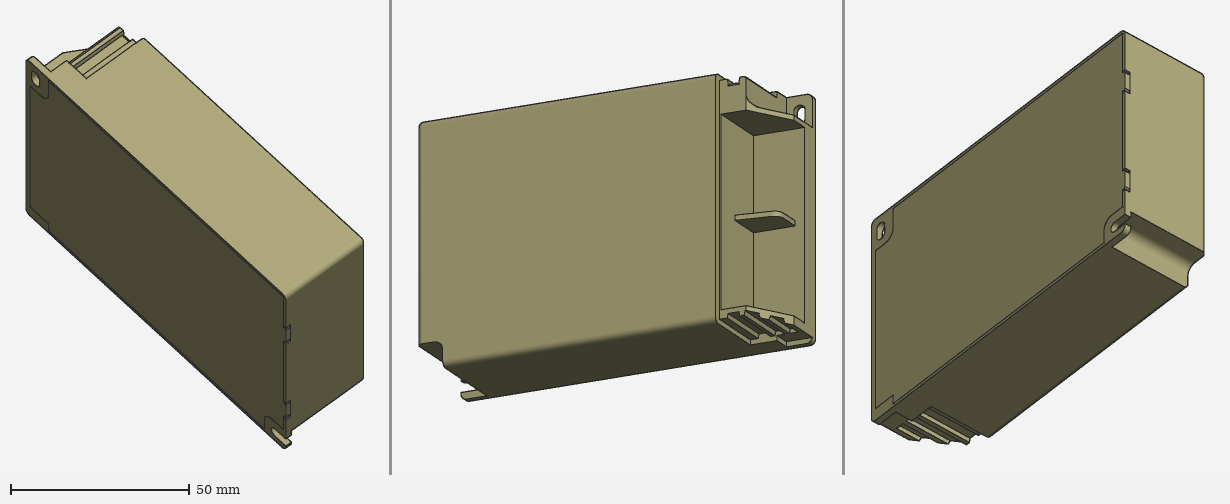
import cadquery as cq

length = 110.0
depth = 30.0
height = 74.0
edge_radius = 1.8
wall = 1.1
flange_thickness = 2.1

end_length = 16.5
end_inset = 1.5
end_rear = 27.5
step_start = 8.0
ear_depth_x = 8.1
bevel_start = 13.8
corner_bevel_x = 0.7
corner_bevel_z = 0.3

upper_ear_height = 10.1
lower_ear_height = 7.7
ear_fillet = 2.9

slot_width = 3.4
upper_slot_x = 4.1
upper_slot_z = 68.2
upper_slot_length = 5.9
lower_slot_z = 4.0
lower_slot_end = 103.8

pocket_bottom = 4.3
pocket_top = 62.4
pocket_floor_y = 7.0
pocket_wall_x = 16.0

rib_x = 3.0
rib_z = 33.5
rib_thickness = 1.5
rib_shoulder_y = 16.9
rib_root_y = 18.8
rib_radius = 2.9

groove_depth = 1.3
groove_taper = 0.3
groove_spans = [(1.5, 4.3), (5.7, 8.8), (10.1, 14.1)]
end_bevel = 0.8

panel_thickness = 1.8
panel_left = 1.8
ear_land_x = 9.5
ear_land_lower = 9.1
ear_land_radius = 3.5
notch_height = 7.7
tab_gap = 0.3
tab_chamfer = 0.5
tab_centers = (18.8, 55.0)


def block(x0, x1, y0, y1, z0, z1):
    """Axis-aligned box between two opposite corners."""
    return cq.Workplane("XY").box(x1 - x0, y1 - y0, z1 - z0, centered=False).translate((x0, y0, z0))


def case_envelope():
    """Rounded box carrying the mounting face, before the connection end is shaped."""
    envelope = block(0, length, 0, depth, 0, height)
    envelope = envelope.edges("|Y").fillet(edge_radius)
    envelope = envelope.faces(">Y").edges().fillet(edge_radius)
    behind_end = block(0, end_length, end_rear, depth, 0, height)
    return envelope.cut(behind_end)


def height_step_cutters():
    """Strips that make the connection end lower than the case at the top and the bottom."""
    top = block(0, end_length, step_start, depth, height - end_inset, height)
    bottom = block(0, end_length, step_start, depth, 0, end_inset)
    bottom_ear = block(0, ear_depth_x, flange_thickness, depth, 0, end_inset)
    return [top, bottom, bottom_ear]


def side_bevel_cutter():
    """Wedge that slants the free end between the front lip and the rear side."""
    return (
        cq.Workplane("XY")
        .polyline([(0, bevel_start), (ear_depth_x, end_rear), (0, end_rear)])
        .close()
        .extrude(height)
    )


def ear_corner_cutters():
    """Open corners behind the two mounting ears, rounded along the inner edge."""
    upper = block(0, ear_depth_x, flange_thickness, depth, height - upper_ear_height, height)
    upper = upper.edges("|Y and >X and <Z").fillet(ear_fillet)
    lower = block(length - ear_depth_x, length, flange_thickness, depth, 0, lower_ear_height)
    lower = lower.edges("|Y and <X and >Z").fillet(ear_fillet)
    return [upper, lower]


def corner_bevel_cutter():
    """Small bevel on the top edge beside the upper open corner."""
    top = height - end_inset
    return (
        cq.Workplane("XZ", origin=(0, step_start, 0))
        .polyline([
            (ear_depth_x, top),
            (ear_depth_x + corner_bevel_x, top),
            (ear_depth_x, top - corner_bevel_z),
        ])
        .close()
        .extrude(step_start - depth)
    )


def slot_cutters():
    """Closed upright slot in the upper ear and open-ended slot in the lower ear."""
    ear_plane = cq.Workplane("XZ")
    upper = (
        ear_plane.center(upper_slot_x, upper_slot_z)
        .slot2D(upper_slot_length, slot_width, 90)
        .extrude(-depth)
    )
    lower_length = 2 * (length - lower_slot_end)
    lower = (
        ear_plane.center(length, lower_slot_z)
        .slot2D(lower_length, slot_width, 0)
        .extrude(-depth)
    )
    return [upper, lower]


def groove_cutter(x0, x1, edge_z, direction):
    """Tapered groove along Y; direction is +1 to cut upwards and -1 to cut downwards."""
    floor_z = edge_z + direction * groove_depth
    return (
        cq.Workplane("XZ", origin=(0, step_start, 0))
        .polyline([
            (x0, edge_z),
            (x1, edge_z),
            (x1 - groove_taper, floor_z),
            (x0 + groove_taper, floor_z),
        ])
        .close()
        .extrude(step_start - depth)
    )


def groove_end_bevel_cutter():
    """Bevel between the floor of the upper groove and the rear side."""
    x0, x1 = groove_spans[-1]
    floor_z = height - end_inset - groove_depth
    return (
        cq.Workplane("YZ", origin=(x0 + groove_taper, 0, 0))
        .polyline([
            (end_rear, floor_z),
            (end_rear - end_bevel, floor_z),
            (end_rear, floor_z - end_bevel),
        ])
        .close()
        .extrude(x1 - x0 - 2 * groove_taper)
    )


def pocket_rib():
    """Guide rib standing on the pocket floor, sloping up to the inner wall."""
    rib = (
        cq.Workplane("XY", origin=(0, 0, rib_z))
        .polyline([
            (rib_x, pocket_floor_y),
            (pocket_wall_x, pocket_floor_y),
            (pocket_wall_x, rib_root_y),
            (rib_x, rib_shoulder_y),
        ])
        .close()
        .extrude(rib_thickness)
    )
    corner = cq.selectors.NearestToPointSelector((rib_x, rib_shoulder_y, rib_z + rib_thickness / 2))
    return rib.edges("|Z").edges(corner).fillet(rib_radius)


def panel_plate():
    """Flat plate inside the rim, leaving room for the ears and the lower left corner."""
    plate = block(panel_left, length - wall, 0, panel_thickness, wall, height - wall)
    upper_land = block(0, ear_land_x, 0, panel_thickness, pocket_top, height)
    upper_land = upper_land.edges("|Y and >X and <Z").fillet(ear_land_radius)
    lower_land = block(length - ear_land_lower, length, 0, panel_thickness, 0, ear_land_lower)
    lower_land = lower_land.edges("|Y and <X and >Z").fillet(ear_land_radius)
    left_land = block(0, ear_land_x, 0, panel_thickness, 0, pocket_bottom)
    return plate.cut(upper_land).cut(lower_land).cut(left_land)


def rim_block(center_z, block_height):
    """Block filling the rim at high X; it overlaps the plate so that the two join."""
    low_z = center_z - block_height / 2
    return block(length - 2 * wall, length, 0, panel_thickness, low_z, low_z + block_height)


def panel_seat_cutters():
    """Recess for the panel plate and the rim notches for its tabs."""
    return [panel_plate()] + [rim_block(center_z, notch_height) for center_z in tab_centers]


def make_base_panel():
    """Panel flush with the mounting face, held by two chamfered tabs in the rim."""
    panel = panel_plate()
    for center_z in tab_centers:
        tab = rim_block(center_z, notch_height - 2 * tab_gap)
        panel = panel.union(tab.edges("|Y and >X").chamfer(tab_chamfer))
    return panel


def make_housing():
    """Case with mounting ears, connection end and seat for the base panel."""
    body = case_envelope()
    cutters = height_step_cutters() + ear_corner_cutters() + slot_cutters()
    cutters += [side_bevel_cutter(), corner_bevel_cutter()]
    cutters.append(block(0, pocket_wall_x, pocket_floor_y, depth, pocket_bottom, pocket_top))
    for x0, x1 in groove_spans:
        cutters.append(groove_cutter(x0, x1, end_inset, 1))
    upper_x0, upper_x1 = groove_spans[-1]
    cutters.append(groove_cutter(upper_x0, upper_x1, height - end_inset, -1))
    cutters.append(groove_end_bevel_cutter())
    cutters += panel_seat_cutters()
    for cutter in cutters:
        body = body.cut(cutter)
    return body.union(pocket_rib())


housing = make_housing()
base_panel = make_base_panel()

result = cq.Compound.makeCompound([housing.val(), base_panel.val()])